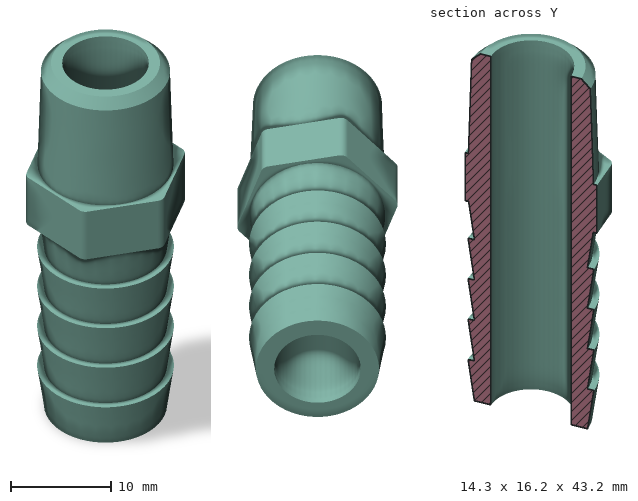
import cadquery as cq

total_height = 43.2
barb_count = 5
full_barbs_height = 20.0
barb_pitch = full_barbs_height / (barb_count - 1)
hex_bottom = 24.5
hex_height = 6.0
hex_top = hex_bottom + hex_height

bore_radius = 4.3
barb_root_radius = 6.15
barb_crest_radius = 6.83
spigot_base_radius = 6.8
spigot_end_radius = 6.45
spigot_chamfer = 1.0

across_flats = 14.3
hex_corner_radius = 0.85


def barbed_tail():
    """Stacked cones flaring upward; the last one is cut short by the hexagon."""
    flare = (barb_crest_radius - barb_root_radius) / barb_pitch
    points = [(0, 0)]
    for index in range(barb_count):
        bottom = index * barb_pitch
        top = min(bottom + barb_pitch, hex_bottom)
        points.append((barb_root_radius, bottom))
        points.append((barb_root_radius + flare * (top - bottom), top))
    points.append((0, hex_bottom))
    return cq.Workplane("XZ").polyline(points).close().revolve(360, (0, 0), (0, 1))


def hexagon():
    """Wrench hexagon with two flats facing +X and -X."""
    return (
        cq.Workplane("XY", origin=(0, 0, hex_bottom))
        .polygon(6, across_flats, circumscribed=True)
        .extrude(hex_height)
        .edges("|Z")
        .fillet(hex_corner_radius)
    )


def tapered_spigot():
    """Slightly tapered upper end with a chamfered rim."""
    points = [
        (0, hex_top),
        (spigot_base_radius, hex_top),
        (spigot_end_radius, total_height - spigot_chamfer),
        (spigot_end_radius - spigot_chamfer, total_height),
        (0, total_height),
    ]
    return cq.Workplane("XZ").polyline(points).close().revolve(360, (0, 0), (0, 1))


bore = cq.Workplane("XY").circle(bore_radius).extrude(total_height)
result = barbed_tail().union(hexagon()).union(tapered_spigot()).cut(bore)